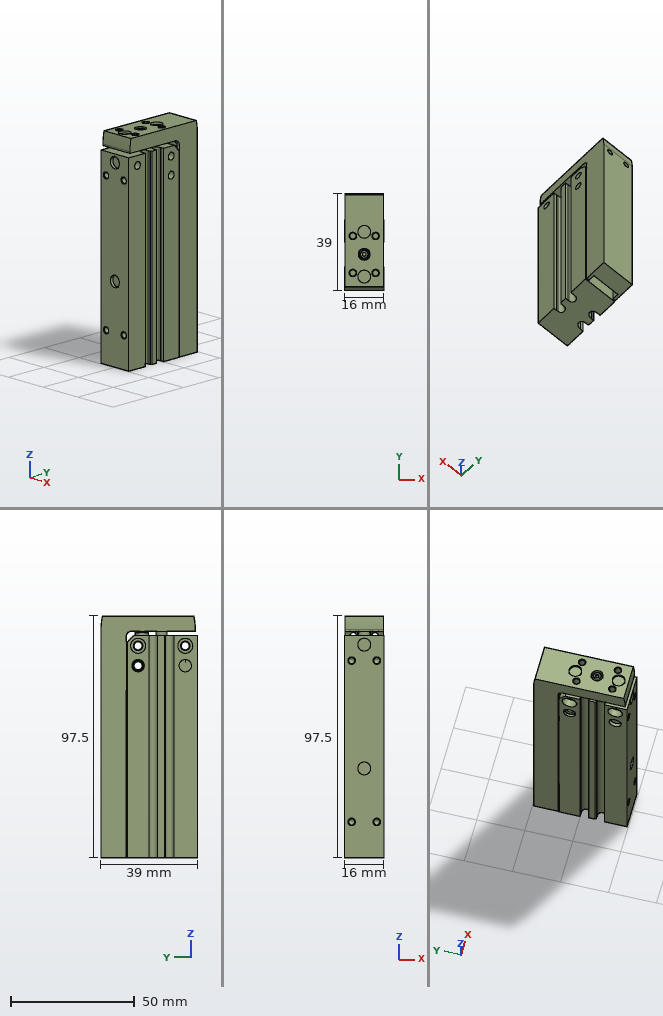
import cadquery as cq
import math

TOTAL_HEIGHT = 97.5
TOTAL_DEPTH = 39
HOUSING_WIDTH = 16.0
HOUSING_DEPTH = 28.3
HOUSING_HEIGHT = 89.7
HOUSING_CHAMFER = 2.5
HALF_HOUSING_WIDTH = HOUSING_WIDTH / 2

SLOT_WIDTH = 3.5
SLOT_STEP_DEPTH = 1.5
SLOT_FLOOR_WIDTH = 3.3
SLOT_ROUND_DEPTH = 2.3
FRONT_SLOT_Y = 11.2
REAR_SLOT_Y = 17.8
RIB_INSET = 0.3
RIB_CHAMFER = 0.4

CROSS_HOLE_Y = (5.0, 24.0)
CROSS_HOLE_Z = 85.5
CROSS_HOLE_DIAMETER = 3.2
CROSS_SEAT_DIAMETER = 3.8
PORT_SEAT_DIAMETER = 4.3
CROSS_BORE_DIAMETER = 6.0
CROSS_BORE_DEPTH = 3.2
PORT_Z = 77.5
PORT_DIAMETER = 5.0
PORT_DEPTH = 1

RECESS_DIAMETER = 5.2
END_RECESS_DEPTH = 1
SIDE_RECESS_DEPTH = 1.5
TAP_DIAMETER = 2.4
TAP_MOUTH_DIAMETER = 3.0
TAP_DEPTH = 4.9
DRILL_POINT_ANGLE = 118
FRONT_RECESS_Z = (36.1, 86.0)
FRONT_TAP_X = 5.1
FRONT_TAP_Z = (14.5, 79.6)

GUIDE_WIDTH = 12.9
GUIDE_CENTER_Z = 77.4
GUIDE_LENGTH = 19.7
GUIDE_BLOCK_LENGTH = 13.65
GUIDE_CAP_SETBACK = 0.2

TABLE_WIDTH = 15.6
TABLE_INNER_Y = 28.8
TABLE_FRONT_Y = 0.9
END_PLATE_THICKNESS = 6.1
END_PLATE_BOTTOM_Z = TOTAL_HEIGHT - END_PLATE_THICKNESS
END_CURVE_HEIGHT = 5.5
END_CURVE_SETBACK = 0.6
TABLE_FILLET = 2.1
RELIEF_WIDTH = 8.0
RELIEF_TOP_Z = 91.2
CHANNEL_WIDTH = 13.1
CHANNEL_DEPTH = 2.9
CHANNEL_TOP_Z = 89.7
TABLE_HOLE_X = 4.4
TABLE_HOLE_Z = 89.6
TABLE_HOLE_DIAMETER = 2.5
END_TAP_X = 4.6
END_TAP_Y = (7.0, 21.9)
END_RECESS_Y = (5.6, 23.6)

ROD_Y = 14.5
ROD_DIAMETER = 4.6
ROD_HOLE_DIAMETER = 4.8
ROD_TIP_DIAMETER = 4.0
ROD_TIP_CHAMFER = 0.5
ROD_TIP_Z = 97.2
ROD_SOCKET_DIAMETER = 1.6
ROD_SOCKET_DEPTH = 1
STOP_Y = 22.4
STOP_DIAMETER = 5.5
STOP_TOP_Z = 90.9
STOP_PIN_DIAMETER = 2.0


def box(x_range, y_range, z_range):
    """A box given by its limits along each axis."""
    sizes = [high - low for low, high in (x_range, y_range, z_range)]
    corner = cq.Vector(x_range[0], y_range[0], z_range[0])
    return cq.Workplane(cq.Solid.makeBox(*sizes, pnt=corner))


def cylinder(diameter, length, start, direction):
    """A round bar from a start point along a direction."""
    radius = diameter / 2
    return cq.Workplane(cq.Solid.makeCylinder(radius, length, cq.Vector(*start), cq.Vector(*direction)))


def cone(start_diameter, end_diameter, length, start, direction):
    """A cone between two diameters from a start point along a direction."""
    radii = (start_diameter / 2, end_diameter / 2)
    return cq.Workplane(cq.Solid.makeCone(*radii, length, cq.Vector(*start), cq.Vector(*direction)))


def tapped_hole(start, direction, depth):
    """A hole whose mouth is chamfered at 45 degrees."""
    mouth_depth = (TAP_MOUTH_DIAMETER - TAP_DIAMETER) / 2
    mouth = cone(TAP_MOUTH_DIAMETER, TAP_DIAMETER, mouth_depth, start, direction)
    return cylinder(TAP_DIAMETER, depth, start, direction).union(mouth)


def sensor_slot(center_y):
    """A slot in the -X side: straight walls, a small step inward on each, then a semicircular floor."""
    step_x = -HALF_HOUSING_WIDTH + SLOT_STEP_DEPTH
    round_x = -HALF_HOUSING_WIDTH + SLOT_ROUND_DEPTH
    half_width = SLOT_WIDTH / 2
    floor_radius = SLOT_FLOOR_WIDTH / 2
    return (
        cq.Workplane("XY")
        .moveTo(-HALF_HOUSING_WIDTH, center_y - half_width)
        .lineTo(step_x, center_y - half_width)
        .lineTo(step_x, center_y - floor_radius)
        .lineTo(round_x, center_y - floor_radius)
        .threePointArc((round_x + floor_radius, center_y), (round_x, center_y + floor_radius))
        .lineTo(step_x, center_y + floor_radius)
        .lineTo(step_x, center_y + half_width)
        .lineTo(-HALF_HOUSING_WIDTH, center_y + half_width)
        .close()
        .extrude(HOUSING_HEIGHT)
    )


def side_grooves():
    """Both slots of the -X side and the cut that sets the rib between them back."""
    rib_x = -HALF_HOUSING_WIDTH + RIB_INSET
    rib_front_y = FRONT_SLOT_Y + SLOT_WIDTH / 2
    rib_cut = (
        cq.Workplane("XY")
        .moveTo(-HALF_HOUSING_WIDTH, FRONT_SLOT_Y)
        .lineTo(rib_x + RIB_CHAMFER, FRONT_SLOT_Y)
        .lineTo(rib_x + RIB_CHAMFER, rib_front_y)
        .lineTo(rib_x, rib_front_y + RIB_CHAMFER)
        .lineTo(rib_x, REAR_SLOT_Y)
        .lineTo(-HALF_HOUSING_WIDTH, REAR_SLOT_Y)
        .close()
        .extrude(HOUSING_HEIGHT)
    )
    return rib_cut.union(sensor_slot(FRONT_SLOT_Y)).union(sensor_slot(REAR_SLOT_Y))


def cross_hole(y, z, bore_diameter, bore_depth, seat_diameter):
    """A hole through the housing along X, with a counterbore in the -X side and a chamfered step."""
    start_x = -HALF_HOUSING_WIDTH
    seat_depth = (seat_diameter - CROSS_HOLE_DIAMETER) / 2
    hole = cylinder(CROSS_HOLE_DIAMETER, HOUSING_WIDTH, (start_x, y, z), (1, 0, 0))
    bore = cylinder(bore_diameter, bore_depth, (start_x, y, z), (1, 0, 0))
    seat_start = (start_x + bore_depth, y, z)
    seat = cone(seat_diameter, CROSS_HOLE_DIAMETER, seat_depth, seat_start, (1, 0, 0))
    return hole.union(bore).union(seat)


def front_tap(x, z):
    """A blind tapped hole in the housing front, ending in a drill point."""
    point_length = TAP_DIAMETER / 2 / math.tan(math.radians(DRILL_POINT_ANGLE / 2))
    point = cone(TAP_DIAMETER, 0, point_length, (x, TAP_DEPTH, z), (0, 1, 0))
    return tapped_hole((x, 0, z), (0, 1, 0), TAP_DEPTH).union(point)


def guide_block():
    """The guide on the housing back, reaching the channel floor, with a cap set back at each end."""
    channel_floor_y = TABLE_INNER_Y + CHANNEL_DEPTH
    half_width = GUIDE_WIDTH / 2
    half_length = GUIDE_LENGTH / 2
    half_block = GUIDE_BLOCK_LENGTH / 2
    across = (-half_width, half_width)
    caps = box(
        across,
        (HOUSING_DEPTH + GUIDE_CAP_SETBACK, channel_floor_y),
        (GUIDE_CENTER_Z - half_length, GUIDE_CENTER_Z + half_length),
    )
    block = box(
        across,
        (HOUSING_DEPTH, channel_floor_y),
        (GUIDE_CENTER_Z - half_block, GUIDE_CENTER_Z + half_block),
    )
    return caps.union(block)


def piston_rod():
    """The rod, meeting the end plate, with a chamfered socketed tip in the hole of the plate."""
    up = (0, 0, 1)
    rod = cylinder(ROD_DIAMETER, END_PLATE_BOTTOM_Z - HOUSING_HEIGHT, (0, ROD_Y, HOUSING_HEIGHT), up)
    tip = cylinder(ROD_TIP_DIAMETER, ROD_TIP_Z - HOUSING_HEIGHT, (0, ROD_Y, HOUSING_HEIGHT), up)
    tip = tip.faces(">Z").chamfer(ROD_TIP_CHAMFER)
    socket = cylinder(ROD_SOCKET_DIAMETER, ROD_SOCKET_DEPTH, (0, ROD_Y, ROD_TIP_Z), (0, 0, -1))
    return rod.union(tip).cut(socket)


def stop():
    """The stop: a wide disc with a small pin that meets the end plate."""
    up = (0, 0, 1)
    disc = cylinder(STOP_DIAMETER, STOP_TOP_Z - HOUSING_HEIGHT, (0, STOP_Y, HOUSING_HEIGHT), up)
    pin = cylinder(STOP_PIN_DIAMETER, END_PLATE_BOTTOM_Z - STOP_TOP_Z, (0, STOP_Y, STOP_TOP_Z), up)
    return disc.union(pin)


def make_housing():
    """The housing with its slots, holes, guide block, piston rod and stop."""
    across = (-HALF_HOUSING_WIDTH, HALF_HOUSING_WIDTH)
    housing = box(across, (0, HOUSING_DEPTH), (0, HOUSING_HEIGHT))
    housing = housing.edges(">Y and >Z").chamfer(HOUSING_CHAMFER)

    grooves = side_grooves()
    housing = housing.cut(grooves).cut(grooves.mirror("YZ"))

    for y in CROSS_HOLE_Y:
        hole = cross_hole(y, CROSS_HOLE_Z, CROSS_BORE_DIAMETER, CROSS_BORE_DEPTH, CROSS_SEAT_DIAMETER)
        housing = housing.cut(hole)
    plugged_y, open_y = CROSS_HOLE_Y
    housing = housing.cut(cross_hole(open_y, PORT_Z, PORT_DIAMETER, PORT_DEPTH, PORT_SEAT_DIAMETER))
    plugged_start = (-HALF_HOUSING_WIDTH, plugged_y, PORT_Z)
    housing = housing.cut(cylinder(PORT_DIAMETER, SIDE_RECESS_DEPTH, plugged_start, (1, 0, 0)))

    for z in FRONT_RECESS_Z:
        housing = housing.cut(cylinder(RECESS_DIAMETER, SIDE_RECESS_DEPTH, (0, 0, z), (0, 1, 0)))
    for z in FRONT_TAP_Z:
        for x in (-FRONT_TAP_X, FRONT_TAP_X):
            housing = housing.cut(front_tap(x, z))

    return housing.union(guide_block()).union(piston_rod()).union(stop())


def end_curve_middle():
    """A point halfway up the front end curve, whose arc starts upright at its lower end."""
    radius = (END_CURVE_SETBACK**2 + END_CURVE_HEIGHT**2) / (2 * END_CURVE_SETBACK)
    half_height = END_CURVE_HEIGHT / 2
    setback = radius - math.sqrt(radius**2 - half_height**2)
    return (TABLE_FRONT_Y + setback, TOTAL_HEIGHT - half_height)


def table_blank():
    """The L-shaped table with curved upper ends and a fillet in its inner corner."""
    curve_z = TOTAL_HEIGHT - END_CURVE_HEIGHT
    return (
        cq.Workplane("YZ")
        .moveTo(TABLE_INNER_Y, 0)
        .lineTo(TOTAL_DEPTH, 0)
        .lineTo(TOTAL_DEPTH, curve_z)
        .tangentArcPoint((TOTAL_DEPTH - END_CURVE_SETBACK, TOTAL_HEIGHT), relative=False)
        .lineTo(TABLE_FRONT_Y + END_CURVE_SETBACK, TOTAL_HEIGHT)
        .threePointArc(end_curve_middle(), (TABLE_FRONT_Y, curve_z))
        .lineTo(TABLE_FRONT_Y, END_PLATE_BOTTOM_Z)
        .lineTo(TABLE_INNER_Y - TABLE_FILLET, END_PLATE_BOTTOM_Z)
        .tangentArcPoint((TABLE_INNER_Y, END_PLATE_BOTTOM_Z - TABLE_FILLET), relative=False)
        .close()
        .extrude(TABLE_WIDTH / 2, both=True)
    )


def make_table():
    """The table with its holes, recesses, guide channel and the relief above it."""
    table = table_blank()

    fillet_front_y = TABLE_INNER_Y - TABLE_FILLET
    channel_limits_y = (fillet_front_y, TABLE_INNER_Y + CHANNEL_DEPTH)
    half_channel = CHANNEL_WIDTH / 2
    half_relief = RELIEF_WIDTH / 2
    table = table.cut(box((-half_channel, half_channel), channel_limits_y, (0, CHANNEL_TOP_Z)))
    table = table.cut(box((-half_relief, half_relief), channel_limits_y, (CHANNEL_TOP_Z, RELIEF_TOP_Z)))

    for x in (-TABLE_HOLE_X, TABLE_HOLE_X):
        start = (x, fillet_front_y, TABLE_HOLE_Z)
        table = table.cut(cylinder(TABLE_HOLE_DIAMETER, TOTAL_DEPTH - fillet_front_y, start, (0, 1, 0)))

    down = (0, 0, -1)
    for y in END_RECESS_Y:
        table = table.cut(cylinder(RECESS_DIAMETER, END_RECESS_DEPTH, (0, y, TOTAL_HEIGHT), down))
    for y in END_TAP_Y:
        for x in (-END_TAP_X, END_TAP_X):
            table = table.cut(tapped_hole((x, y, TOTAL_HEIGHT), down, END_PLATE_THICKNESS))
    return table.cut(cylinder(ROD_HOLE_DIAMETER, END_PLATE_THICKNESS, (0, ROD_Y, TOTAL_HEIGHT), down))


housing = make_housing()
table = make_table()
result = cq.Compound.makeCompound([housing.val(), table.val()])